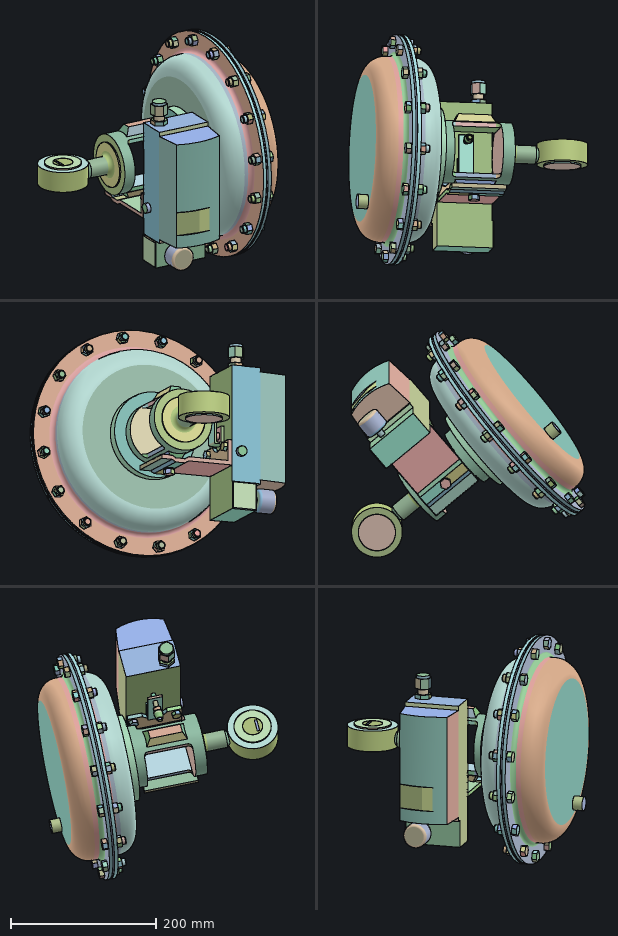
import cadquery as cq
import math


overall_length = 329.0
overall_width = 324.5
flange_diameter = 317.5
flange_radius = flange_diameter / 2
cover_tip_x = overall_width - flange_radius

flange_half = 6.2
gasket_thickness = 2.3
gasket_inset = 0.5
dome_radius = 128.3
dome_round = 27.0
dome_root_fillet = 6.2
front_dome_depth = 45.0
rear_dome_depth = 46.5

bolt_count = 16
bolt_circle_radius = 147.5
bolt_pattern_offset = 0.6
bolt_hex_corners = 16.0
bolt_hex_turn = 3.0
bolt_head_height = 7.0
bolt_nut_height = 8.0
bolt_radius = 5.3
bolt_tip_chamfer = 1.0
bolt_end_y = -20.0

hub_radius = 60.2
hub_front_y = -60.0
yoke_radius = 43.0
yoke_front_y = -160.0
yoke_face_radius = 32.0
yoke_face_height = 2.0
window_rear_y = -75.0
window_front_y = -143.0
window_corner = 6.0
bar_half_width = 18.7
window_half_height = 32.5
pad_y = -110.0
pad_top_z = 52.5
pad_top_width = 13.0
pad_top_length = 45.7
pad_height = 13.0
pad_taper = 28.0

stem_radius = 12.8
stem_root_fillet = 6.2
stem_chamfer = 4.3
stem_shoulder_y = -195.0
eye_y = -233.5
eye_z = 2.0
eye_radius = 35.2
eye_height = 29.5
eye_race_radius = 25.5
eye_race_height = 33.5
eye_disc_radius = 13.8
eye_mark_depth = 0.3
eye_bar_length = 17.8
eye_bar_width = 3.3
eye_bar_y = eye_y - 6.2
eye_end_y = eye_y - eye_radius

vent_x = -35.2
vent_z = -82.0
vent_radius = 10.0
vent_end_y = eye_end_y + overall_length

bracket_rear_y = -74.0
bracket_front_y = -150.5
bracket_left_x = -28.0
bracket_thickness = 6.0
bracket_shelf_z = -49.5
bracket_leg_top_z = -19.5
dip_depth = pad_top_z + bracket_shelf_z
dip_bottom_half = 7.0
dip_top_half = 12.5
scallop_radius = 20.7
scallop_y = -112.2
scallop_z = -8.2
shelf_washer_radius = 7.0
shelf_washer_height = 1.5
shelf_hex_corners = 15.8
shelf_hex_height = 6.5
leg_screw_z = -28.0
leg_screw_corners = 13.5
leg_screw_height = 5.3
leg_screw_rear_y = -81.2
leg_screw_front_y = -142.0
leg_screw_turn = 15.0

case_left_x = 77.3
case_right_x = 120.0
case_rear_y = -72.7
case_front_y = -150.0
case_top_z = 86.5
case_bottom_z = -78.0
case_mid_y = (case_rear_y + case_front_y) / 2
button_x = 90.5
button_z = -35.0
button_radius = 7.0
button_height = 6.0

cover_top_z = 80.5
cover_bottom_z = -72.5
cover_corner_x = 159.2
cover_corner_half = 34.2
recess_top_z = -20.0
recess_bottom_z = -54.0
recess_depth = 1.3

block_right_x = 113.0
block_bottom_z = -116.8
block_lid_height = 2.3
block_lid_chamfer = 1.3
gauge_y = -127.5
gauge_z = -96.7
gauge_neck_radius = 4.5
gauge_left_x = 122.7
gauge_right_x = 148.0
gauge_radius = 16.8
gauge_round = 3.3

gland_x = 90.5
gland_y = -133.0
gland_hex_corners = 23.5
gland_levels = [case_top_z, 92.5, 100.3, 115.5, 119.5]
gland_neck_radius = 7.5
gland_cap_radius = 9.5

lever_left_x = 63.0
lever_thickness = 3.3
lever_rear_y = -100.5
lever_front_y = -121.0
lever_bottom_z = bracket_leg_top_z
lever_top_z = 37.8
lever_tab_thickness = 4.0
lever_tab_top_z = 6.0
lever_floor = 2.3
lever_corner = 2.0
spindle_z = -6.5
spindle_radius = 5.3
pin_y = -110.5
pin_z = 28.3
pin_end_x = 75.3
pin_tip = (32.2, 3.0)
pin_nose = (35.2, 4.5)
pin_collar = (42.0, 6.2)
pin_sleeve = (46.5, 5.3)
pin_shank = (52.3, 3.3)


def cylinder(start, direction, length, radius):
    return cq.Workplane(cq.Solid.makeCylinder(radius, length, cq.Vector(*start), cq.Vector(*direction)))


def block(x_range, y_range, z_range):
    """Box between the two limits given along each axis."""
    limits = [sorted(pair) for pair in (x_range, y_range, z_range)]
    low = [pair[0] for pair in limits]
    size = [pair[1] - pair[0] for pair in limits]
    return cq.Workplane("XY").box(*size, centered=False).translate(tuple(low))


def hexagon(start, direction, length, corners, corner_direction):
    """Hexagonal prism with one of its corners pointing along corner_direction."""
    plane = cq.Plane(origin=start, xDir=corner_direction, normal=direction)
    return cq.Workplane(plane).polygon(6, corners).extrude(length)


def dome(side, depth):
    """Solid of one dished casing; side is +1 for rear and -1 for front."""
    root_radius = dome_radius + dome_root_fillet
    round_middle = dome_round * math.sqrt(0.5)
    root_middle = dome_root_fillet * math.sqrt(0.5)
    fillet_end = flange_half + dome_root_fillet
    return (
        cq.Workplane("XY")
        .moveTo(0, 0)
        .lineTo(root_radius, 0)
        .lineTo(root_radius, side * flange_half)
        .threePointArc(
            (root_radius - root_middle, side * (fillet_end - root_middle)),
            (dome_radius, side * fillet_end),
        )
        .lineTo(dome_radius, side * (depth - dome_round))
        .threePointArc(
            (dome_radius - dome_round + round_middle, side * (depth - dome_round + round_middle)),
            (dome_radius - dome_round, side * depth),
        )
        .lineTo(0, side * depth)
        .close()
        .revolve(360, (0, 0), (0, 1))
    )


def casing():
    plates = cylinder((0, -flange_half, 0), (0, 1, 0), 2 * flange_half, flange_radius)
    groove_start = (0, -gasket_thickness / 2, 0)
    groove = cylinder(groove_start, (0, 1, 0), gasket_thickness, flange_radius).cut(
        cylinder(groove_start, (0, 1, 0), gasket_thickness, flange_radius - gasket_inset)
    )
    vent = cylinder((vent_x, 0, vent_z), (0, 1, 0), vent_end_y, vent_radius)
    body = plates.cut(groove)
    return body.union(dome(-1, front_dome_depth)).union(dome(1, rear_dome_depth)).union(vent)


def flange_bolt(angle):
    """Bolt and nut at an angle in degrees, measured from +Z toward +X."""
    turn = math.radians(angle)
    x = bolt_circle_radius * math.sin(turn)
    z = bolt_circle_radius * math.cos(turn)
    corner = math.radians(angle - bolt_hex_turn)
    nut_corner = corner + math.pi / 6
    corner_direction = (math.sin(corner), 0, math.cos(corner))
    nut_corner_direction = (math.sin(nut_corner), 0, math.cos(nut_corner))
    head = hexagon((x, flange_half, z), (0, 1, 0), bolt_head_height, bolt_hex_corners, corner_direction)
    nut = hexagon((x, -flange_half, z), (0, -1, 0), bolt_nut_height, bolt_hex_corners, nut_corner_direction)
    shank = cylinder((x, 0, z), (0, -1, 0), -bolt_end_y, bolt_radius).faces("<Y").chamfer(bolt_tip_chamfer)
    return head.union(nut).union(shank)


def machined_pad(side):
    """Tapered mounting pad on the top (+1) or bottom (-1) bar of the yoke."""
    spread = 2 * pad_height * math.tan(math.radians(pad_taper))
    return (
        cq.Workplane("XY")
        .workplane(offset=side * (pad_top_z - pad_height))
        .center(0, pad_y)
        .rect(pad_top_width + spread, pad_top_length + spread)
        .extrude(side * pad_height, taper=pad_taper)
    )


def yoke():
    hub = cylinder((0, 0, 0), (0, -1, 0), -hub_front_y, hub_radius)
    barrel = cylinder((0, 0, 0), (0, -1, 0), -yoke_front_y, yoke_radius)
    for side in (-1, 1):
        side_opening = block(
            (side * bar_half_width, side * 2 * yoke_radius),
            (window_rear_y, window_front_y),
            (-yoke_radius, yoke_radius),
        )
        inner_face = ">X" if side < 0 else "<X"
        barrel = barrel.cut(side_opening.faces(inner_face).edges("|Z").fillet(window_corner))
    through_window = block(
        (-yoke_radius, yoke_radius),
        (window_rear_y, window_front_y),
        (-window_half_height, window_half_height),
    )
    barrel = barrel.cut(through_window)
    face = cylinder((0, yoke_front_y, 0), (0, -1, 0), yoke_face_height, yoke_face_radius)
    return hub.union(barrel).union(face).union(machined_pad(1)).union(machined_pad(-1))


def stem_and_eye():
    root_y = yoke_front_y - yoke_face_height
    fillet_middle = stem_root_fillet * (1 - math.sqrt(0.5))
    neck_radius = stem_radius - stem_chamfer
    stem = (
        cq.Workplane("XY")
        .moveTo(0, root_y)
        .lineTo(stem_radius + stem_root_fillet, root_y)
        .threePointArc(
            (stem_radius + fillet_middle, root_y - fillet_middle),
            (stem_radius, root_y - stem_root_fillet),
        )
        .lineTo(stem_radius, stem_shoulder_y)
        .lineTo(neck_radius, stem_shoulder_y - stem_chamfer)
        .lineTo(neck_radius, eye_y)
        .lineTo(0, eye_y)
        .close()
        .revolve(360, (0, 0), (0, 1))
    )
    ring = cylinder((0, eye_y, eye_z - eye_height / 2), (0, 0, 1), eye_height, eye_radius)
    race_top_z = eye_z + eye_race_height / 2
    race = cylinder((0, eye_y, race_top_z), (0, 0, -1), eye_race_height, eye_race_radius)
    disc_mark = cylinder((0, eye_y, race_top_z), (0, 0, -1), eye_mark_depth, eye_disc_radius)
    bar_mark = block(
        (-eye_bar_length / 2, eye_bar_length / 2),
        (eye_bar_y - eye_bar_width / 2, eye_bar_y + eye_bar_width / 2),
        (race_top_z - 2 * eye_mark_depth, race_top_z),
    )
    return stem.union(ring).union(race).cut(disc_mark).cut(bar_mark)


def bracket():
    shelf_bottom_z = bracket_shelf_z - bracket_thickness
    width = bracket_rear_y - bracket_front_y
    leg_left_x = case_left_x - bracket_thickness
    profile = [
        (bracket_left_x, bracket_shelf_z),
        (-dip_top_half, bracket_shelf_z),
        (-dip_bottom_half, bracket_shelf_z - dip_depth),
        (dip_bottom_half, bracket_shelf_z - dip_depth),
        (dip_top_half, bracket_shelf_z),
        (leg_left_x, bracket_shelf_z),
        (leg_left_x, bracket_leg_top_z),
        (case_left_x, bracket_leg_top_z),
        (case_left_x, shelf_bottom_z),
        (dip_top_half, shelf_bottom_z),
        (dip_bottom_half, shelf_bottom_z - dip_depth),
        (-dip_bottom_half, shelf_bottom_z - dip_depth),
        (-dip_top_half, shelf_bottom_z),
        (bracket_left_x, shelf_bottom_z),
    ]
    plate = cq.Workplane("XZ", origin=(0, bracket_rear_y, 0)).polyline(profile).close().extrude(width)
    scallop = cylinder((leg_left_x, scallop_y, scallop_z), (1, 0, 0), bracket_thickness, scallop_radius)
    plate = plate.cut(scallop)

    down = (0, 0, -1)
    washer_z = shelf_bottom_z - dip_depth
    hex_z = washer_z - shelf_washer_height
    plate = plate.union(cylinder((0, pad_y, washer_z), down, shelf_washer_height, shelf_washer_radius))
    plate = plate.union(hexagon((0, pad_y, hex_z), down, shelf_hex_height, shelf_hex_corners, (0, 1, 0)))

    turn = math.radians(leg_screw_turn)
    corner_direction = (0, math.cos(turn), math.sin(turn))
    for y in (leg_screw_rear_y, leg_screw_front_y):
        start = (leg_left_x, y, leg_screw_z)
        plate = plate.union(
            hexagon(start, (-1, 0, 0), leg_screw_height, leg_screw_corners, corner_direction)
        )
    return plate


def cover():
    root_half = (case_rear_y - case_front_y) / 2
    height = cover_top_z - cover_bottom_z
    shell = (
        cq.Workplane("XY", origin=(0, case_mid_y, cover_bottom_z))
        .moveTo(case_right_x, -root_half)
        .lineTo(cover_corner_x, -cover_corner_half)
        .threePointArc((cover_tip_x, 0), (cover_corner_x, cover_corner_half))
        .lineTo(case_right_x, root_half)
        .close()
        .extrude(height)
    )
    recess = (
        cq.Workplane("XY", origin=(0, case_mid_y, recess_bottom_z))
        .moveTo(cover_corner_x, -cover_corner_half)
        .lineTo(cover_tip_x - recess_depth, 0)
        .lineTo(cover_tip_x - recess_depth, cover_corner_half)
        .lineTo(cover_tip_x, cover_corner_half)
        .lineTo(cover_tip_x, -cover_corner_half)
        .close()
        .extrude(recess_top_z - recess_bottom_z)
    )
    return shell.cut(recess)


def gauge_block():
    x_range = (case_left_x, block_right_x)
    z_range = (block_bottom_z, case_bottom_z)
    body = block(x_range, (case_rear_y, case_front_y), z_range)
    lid = block(x_range, (case_front_y, case_front_y - block_lid_height), z_range)
    lid = lid.faces("<Y").chamfer(block_lid_chamfer)
    neck = cylinder(
        (block_right_x, gauge_y, gauge_z), (1, 0, 0), gauge_left_x - block_right_x, gauge_neck_radius
    )
    dial = cylinder(
        (gauge_left_x, gauge_y, gauge_z), (1, 0, 0), gauge_right_x - gauge_left_x, gauge_radius
    ).edges().fillet(gauge_round)
    return body.union(lid).union(neck).union(dial)


def cable_gland():
    base, neck, nut, cap, top = gland_levels
    up = (0, 0, 1)
    across = (1, 0, 0)
    lower_hex = hexagon((gland_x, gland_y, base), up, neck - base, gland_hex_corners, across)
    shaft = cylinder((gland_x, gland_y, neck), up, nut - neck, gland_neck_radius)
    upper_hex = hexagon((gland_x, gland_y, nut), up, cap - nut, gland_hex_corners, across)
    end_cap = cylinder((gland_x, gland_y, cap), up, top - cap, gland_cap_radius)
    return lower_hex.union(shaft).union(upper_hex).union(end_cap)


def positioner():
    case = block((case_left_x, case_right_x), (case_rear_y, case_front_y), (case_bottom_z, case_top_z))
    button = cylinder((button_x, case_front_y, button_z), (0, -1, 0), button_height, button_radius)
    return case.union(button).union(cover()).union(gauge_block()).union(cable_gland())


def feedback_lever():
    y_range = (lever_rear_y, lever_front_y)
    inner_left_x = lever_left_x + lever_thickness
    inner_right_x = case_left_x - lever_tab_thickness
    floor_z = lever_bottom_z + lever_floor
    arm = block((lever_left_x, case_left_x), y_range, (lever_bottom_z, lever_top_z))
    arm = arm.faces("<Z").edges("<X").fillet(lever_corner)
    channel = block((inner_left_x, inner_right_x), y_range, (floor_z, lever_top_z))
    channel = channel.faces("<Z").edges("|Y").fillet(lever_corner)
    above_tab = block((inner_right_x, case_left_x), y_range, (lever_tab_top_z, lever_top_z))
    arm = arm.cut(channel).cut(above_tab)
    spindle = cylinder(
        (inner_left_x, pin_y, spindle_z), (1, 0, 0), inner_right_x - inner_left_x, spindle_radius
    )
    return arm.union(spindle).union(lever_pin())


def lever_pin():
    """Stepped feeler pin along X, revolved from its half outline."""
    tip_x, tip_radius = pin_tip
    nose_x, nose_radius = pin_nose
    collar_x, collar_radius = pin_collar
    sleeve_x, sleeve_radius = pin_sleeve
    shank_x, shank_radius = pin_shank
    outline = [
        (tip_x, 0),
        (tip_x, tip_radius),
        (nose_x, tip_radius),
        (nose_x, nose_radius),
        (collar_x, collar_radius),
        (sleeve_x, collar_radius),
        (sleeve_x, sleeve_radius),
        (shank_x, sleeve_radius),
        (shank_x, shank_radius),
        (pin_end_x, shank_radius),
        (pin_end_x, 0),
    ]
    axis_plane = cq.Workplane("XZ", origin=(0, pin_y, pin_z))
    return axis_plane.polyline(outline).close().revolve(360, (0, 0), (1, 0))


result = casing().union(yoke()).union(stem_and_eye())
for index in range(bolt_count):
    pitch = 360 / bolt_count
    result = result.union(flange_bolt((index + 0.5) * pitch + bolt_pattern_offset))
result = result.union(bracket()).union(positioner()).union(feedback_lever())